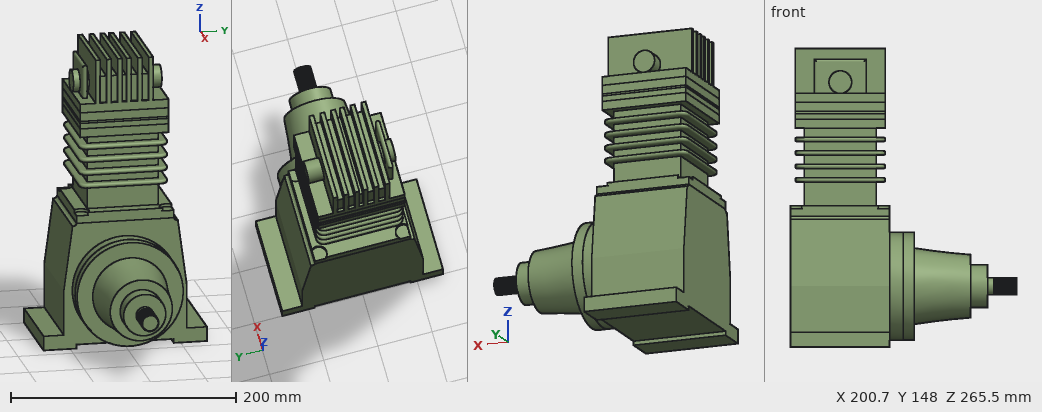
import cadquery as cq
import math


case_length = 88.0
plate_width = 88.0
foot_half_width = 74.0
foot_height = 13.3
foot_relief_height = 3.7
wall_half_width = 55.7
shoulder_half_width = 47.8
shoulder_z = 113.5
cove_height = 2.7
deck_z = shoulder_z + cove_height
shaft_axis_z = 54.1

flange_radius = 48.0
case_flange_length = 12.0
cover_flange_length = 10.0
nose_length = 50.0
nose_root_radius = 34.0
nose_middle_radius = 30.5
nose_tip_radius = 28.0
boss_length = 15.0
boss_radius = 19.0
shaft_length = 25.7
shaft_radius = 7.7
spline_length = 20.2
spline_count = 36
spline_depth = 0.5

stack_x = 44.3
base_plate_height = 9.5
bolt_recess_radius = 7.2
bolt_recess_inset = 5.0
bolt_recess_depth = 2.7
barrel_width = 64.2
barrel_height = 68.7
stack_width = 80.1
top_flange_height = 8.0
ring_count = 4
ring_thickness = 4.0
ring_corner_radius = 7.5
ring_pitch = 12.0
first_ring_height = 22.8

spacer_height = 5.0
gasket_height = 1.9
valve_plate_height = 8.0

head_base_height = 8.0
head_top_z = 265.5
fin_thickness = 4.0
fin_inner_faces = (2.0, 12.0, 22.0)
fin_inset_below_top = 16.0
web_end_inset = 2.7
port_radius = 10.0
tab_width = 46.0
tab_height = 30.3
tab_thickness = 4.0
tab_y = -32.0

barrel_z = deck_z + base_plate_height
top_flange_z = barrel_z + barrel_height
spacer_z = top_flange_z + top_flange_height
gasket_z = spacer_z + spacer_height
valve_plate_z = gasket_z + gasket_height
head_z = valve_plate_z + valve_plate_height
fin_z = head_z + head_base_height

cover_x = case_length + case_flange_length
nose_x = cover_x + cover_flange_length
boss_x = nose_x + nose_length
shaft_x = boss_x + boss_length


def stack_block(width_x, width_y, bottom_z, height):
    """Box centred on the cylinder axis."""
    return (
        cq.Workplane("XY", origin=(stack_x, 0, bottom_z))
        .box(width_x, width_y, height, centered=(True, True, False))
    )


def shaft_disc(start_x, radius, length):
    """Round bar on the shaft axis, running toward +X."""
    return (
        cq.Workplane("YZ", origin=(start_x, 0, shaft_axis_z))
        .circle(radius)
        .extrude(length)
    )


def make_crankcase():
    deck_half_width = plate_width / 2

    cove_width = shoulder_half_width - deck_half_width
    cove_radius = (cove_width**2 + cove_height**2) / (2 * cove_height)

    body = (
        cq.Workplane("YZ")
        .moveTo(0, foot_relief_height)
        .lineTo(deck_half_width, foot_relief_height)
        .lineTo(deck_half_width, 0)
        .lineTo(foot_half_width, 0)
        .lineTo(foot_half_width, foot_height)
        .lineTo(wall_half_width, foot_height)
        .lineTo(wall_half_width, shaft_axis_z)
        .lineTo(shoulder_half_width, shoulder_z)
        .radiusArc((deck_half_width, deck_z), cove_radius)
        .lineTo(0, deck_z)
        .mirrorY()
        .extrude(case_length)
    )
    return body.union(shaft_disc(case_length, flange_radius, case_flange_length))


def make_shaft_cover():
    """Cover flange, slightly waisted bearing nose and end boss, turned about the shaft axis."""
    return (
        cq.Workplane("XZ", origin=(0, 0, shaft_axis_z))
        .moveTo(cover_x, 0)
        .lineTo(cover_x, flange_radius)
        .lineTo(nose_x, flange_radius)
        .lineTo(nose_x, nose_root_radius)
        .threePointArc((nose_x + nose_length / 2, nose_middle_radius), (boss_x, nose_tip_radius))
        .lineTo(boss_x, boss_radius)
        .lineTo(shaft_x, boss_radius)
        .lineTo(shaft_x, 0)
        .close()
        .revolve(360, (0, 0, 0), (1, 0, 0))
    )


def make_shaft():
    """Plain neck followed by a serrated end with V-shaped teeth."""
    neck_length = shaft_length - spline_length
    root_radius = shaft_radius - spline_depth
    points = []
    for i in range(2 * spline_count):
        radius = shaft_radius if i % 2 == 0 else root_radius
        angle = math.pi * i / spline_count
        points.append((radius * math.cos(angle), radius * math.sin(angle)))
    serrated_end = (
        cq.Workplane("YZ", origin=(shaft_x + neck_length, 0, shaft_axis_z))
        .polyline(points)
        .close()
        .extrude(spline_length)
    )
    return shaft_disc(shaft_x, shaft_radius, neck_length).union(serrated_end)


def make_cooling_ring(middle_z):
    """Square plate with rounded corners and a fully rounded rim."""
    rim_radius = ring_thickness / 2
    path_width = stack_width - ring_thickness
    path_corner_radius = ring_corner_radius - rim_radius
    plate = (
        stack_block(path_width, path_width, middle_z - rim_radius, ring_thickness)
        .edges("|Z")
        .fillet(path_corner_radius)
    )
    path = plate.faces("<Z").wires().val().translate(cq.Vector(0, 0, rim_radius))
    rim = (
        cq.Workplane("XZ", origin=(stack_x - path_width / 2, 0, middle_z))
        .circle(rim_radius)
        .sweep(cq.Workplane(path))
    )
    return plate.union(rim)


def make_cylinder():
    base_plate = (
        cq.Workplane("XY", origin=(0, 0, deck_z))
        .box(case_length, plate_width, base_plate_height, centered=(False, True, False))
    )
    recess_spacing_x = case_length - 2 * bolt_recess_inset
    recess_spacing_y = plate_width - 2 * bolt_recess_inset
    recesses = (
        cq.Workplane("XY", origin=(case_length / 2, 0, barrel_z))
        .rect(recess_spacing_x, recess_spacing_y, forConstruction=True)
        .vertices()
        .circle(bolt_recess_radius)
        .extrude(-bolt_recess_depth)
    )
    body = (
        base_plate.cut(recesses)
        .union(stack_block(barrel_width, barrel_width, barrel_z, barrel_height))
        .union(stack_block(stack_width, stack_width, top_flange_z, top_flange_height))
    )
    for i in range(ring_count):
        body = body.union(make_cooling_ring(barrel_z + first_ring_height + i * ring_pitch))
    return body


def make_tab():
    """Upright tab with fully rounded top and side edges, mitred at its upper corners."""
    edge_radius = tab_thickness / 2
    rounded_sides = (
        cq.Workplane("XY", origin=(stack_x, tab_y, fin_z))
        .slot2D(tab_width, tab_thickness)
        .extrude(tab_height)
    )
    rounded_top = (
        cq.Workplane("YZ", origin=(stack_x - tab_width / 2, tab_y, fin_z))
        .moveTo(-edge_radius, 0)
        .lineTo(-edge_radius, tab_height - edge_radius)
        .threePointArc((0, tab_height), (edge_radius, tab_height - edge_radius))
        .lineTo(edge_radius, 0)
        .close()
        .extrude(tab_width)
    )
    return rounded_sides.intersect(rounded_top)


def make_head():
    fin_height = head_top_z - fin_z
    body = stack_block(stack_width, stack_width, head_z, head_base_height)

    web_width = 2 * fin_inner_faces[-1]
    web_height = fin_height - fin_inset_below_top
    body = body.union(stack_block(stack_width - 2 * web_end_inset, web_width, fin_z, web_height))

    for inner_face in fin_inner_faces:
        for side in (-1, 1):
            fin_y = side * (inner_face + fin_thickness / 2)
            fin = stack_block(stack_width, fin_thickness, fin_z, fin_height).translate((0, fin_y, 0))
            body = body.union(fin)

    port_length = stack_width / 2 - fin_inner_faces[-1]
    for side in (-1, 1):
        port = (
            cq.Workplane("XZ", origin=(stack_x, side * stack_width / 2, fin_z + port_radius))
            .circle(port_radius)
            .extrude(side * port_length)
        )
        body = body.union(port)

    return body.union(make_tab())


crankcase = make_crankcase()
shaft_cover = make_shaft_cover()
shaft = make_shaft()
cylinder = make_cylinder()
spacer = stack_block(stack_width, stack_width, spacer_z, spacer_height)
gasket = stack_block(stack_width, stack_width, gasket_z, gasket_height)
valve_plate = stack_block(stack_width, stack_width, valve_plate_z, valve_plate_height)
head = make_head()

result = cq.Compound.makeCompound([
    crankcase.val(),
    shaft_cover.val(),
    shaft.val(),
    cylinder.val(),
    spacer.val(),
    gasket.val(),
    valve_plate.val(),
    head.val(),
])